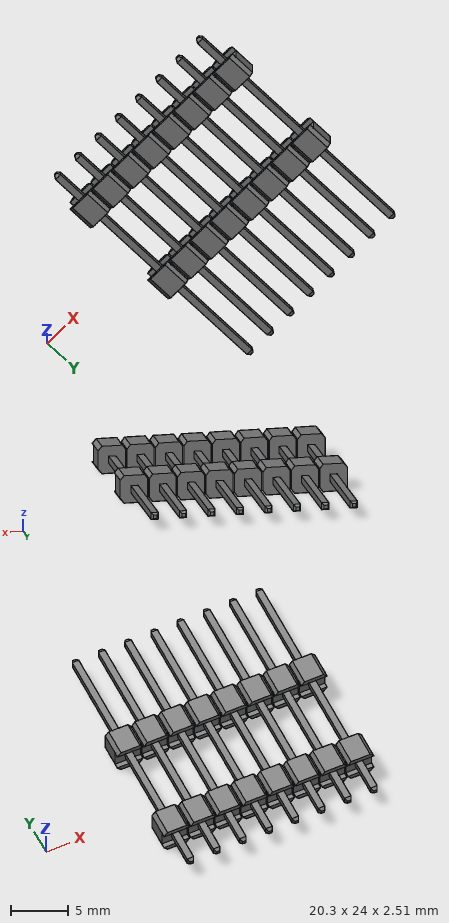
import cadquery as cq

PIN_COUNT = 8
PITCH = 2.54
PIN_SIDE = 0.64
PIN_LENGTH = 24.0
PIN_FRONT_OVERHANG = 3.0
TIP_LENGTH = 0.3
TIP_SIDE = PIN_SIDE / 2

HOUSING_DEPTH = 2.5
HOUSING_HEIGHT = 2.51
HOUSING_SPACING = 9.5
CELL_GAP = 0.12
CELL_TOP_WIDTH = 1.84
BEVEL_HEIGHT = 0.4
RECESS_DEPTH = 0.45
LIP_THICKNESS = 0.45
WEB_REAR_INSET = 0.1
WEB_FRONT_INSET = 0.05

ROW_LENGTH = PIN_COUNT * PITCH
SIDE_HEIGHT = HOUSING_HEIGHT - 2 * BEVEL_HEIGHT
PIN_X = [(i - (PIN_COUNT - 1) / 2) * PITCH for i in range(PIN_COUNT)]
HOUSING_FRONT_Y = [0.0, HOUSING_SPACING]


def box(width, depth, height, front_y):
    """Box centred on X and Z whose front face lies at front_y."""
    return cq.Workplane("XY").box(width, depth, height).translate((0, front_y + depth / 2, 0))


def make_cell(index):
    """Eight-sided housing cell around one pin; end cells reach the full end of the row."""
    middle = PIN_X[index]
    left = middle - (PITCH - CELL_GAP) / 2
    right = middle + (PITCH - CELL_GAP) / 2
    if index == 0:
        left = -ROW_LENGTH / 2
    if index == PIN_COUNT - 1:
        right = ROW_LENGTH / 2
    top_left = middle - CELL_TOP_WIDTH / 2
    top_right = middle + CELL_TOP_WIDTH / 2
    top = HOUSING_HEIGHT / 2
    shoulder = SIDE_HEIGHT / 2
    outline = [
        (left, -shoulder),
        (top_left, -top),
        (top_right, -top),
        (right, -shoulder),
        (right, shoulder),
        (top_right, top),
        (top_left, top),
        (left, shoulder),
    ]
    return cq.Workplane("XZ").polyline(outline).close().extrude(-HOUSING_DEPTH)


def make_housing():
    """Row of cells joined by webs, with a recess along the front face."""
    web_start = RECESS_DEPTH + WEB_FRONT_INSET
    web_depth = HOUSING_DEPTH - WEB_REAR_INSET - web_start
    web_length = ROW_LENGTH - PITCH
    housing = box(web_length, web_depth, SIDE_HEIGHT, web_start)
    for index in range(PIN_COUNT):
        housing = housing.union(make_cell(index))
    recess_height = HOUSING_HEIGHT - 2 * LIP_THICKNESS
    return housing.cut(box(ROW_LENGTH, RECESS_DEPTH, recess_height, 0))


def make_pin():
    """Square pin along Y, tapered at both ends."""
    front_y = -PIN_FRONT_OVERHANG
    rear_y = front_y + PIN_LENGTH
    shaft = box(PIN_SIDE, PIN_LENGTH - 2 * TIP_LENGTH, PIN_SIDE, front_y + TIP_LENGTH)

    def make_tip(base_y, toward_rear):
        plane = cq.Plane((0, base_y, 0), (1, 0, 0), (0, toward_rear, 0))
        base = cq.Workplane(plane).rect(PIN_SIDE, PIN_SIDE)
        return base.workplane(offset=TIP_LENGTH).rect(TIP_SIDE, TIP_SIDE).loft(ruled=True)

    front_tip = make_tip(front_y + TIP_LENGTH, -1)
    rear_tip = make_tip(rear_y - TIP_LENGTH, 1)
    return shaft.union(front_tip).union(rear_tip)


housing = make_housing()
pin = make_pin()

result = cq.Workplane("XY")
for y in HOUSING_FRONT_Y:
    result = result.union(housing.translate((0, y, 0)))
for x in PIN_X:
    result = result.union(pin.translate((x, 0, 0)))